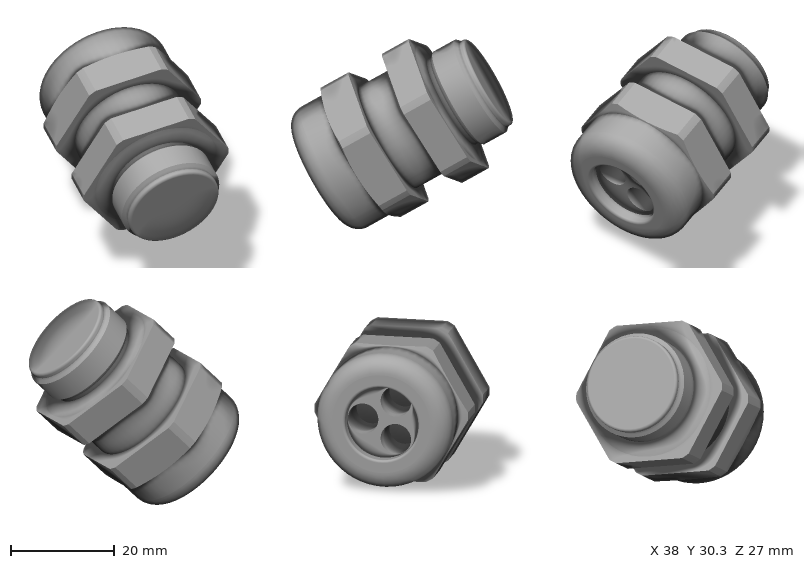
import cadquery as cq
import math


HEX_ACROSS_FLATS = 27.0
HEX_CORNER_RADIUS = 15.15

CAP_RADIUS = 13.25
CAP_NOSE_RADIUS = 3.5
CAP_HEX_START = 8.55
CAP_HEX_CHAMFER_LENGTH = 0.7
CAP_LENGTH = 15.5
MOUTH_RADIUS = 7.25
MOUTH_ROUNDING = 0.5
LIP_THICKNESS = 2.25

INSERT_RADIUS = 10.25
DISH_RADIUS = 9.0
DISH_DEPTH = 1.2
DISH_CORNER_RADIUS = 1.0
DISH_FLOOR = LIP_THICKNESS + DISH_DEPTH
CABLE_HOLE_COUNT = 3
CABLE_HOLE_RADIUS = 3.0
CABLE_HOLE_CIRCLE_RADIUS = 4.3
CABLE_HOLE_DEPTH = 8.0
DOME_HEIGHT = 0.6

BARREL_RADIUS = 11.25
BODY_HEX_START = 23.0
BODY_HEX_END = 29.0
FLANGE_CONE_START_RADIUS = 12.7
FLANGE_CONE_END = 29.65
NECK_RADIUS = 9.4
THREAD_RADIUS = 10.2
THREAD_CHAMFER = THREAD_RADIUS - NECK_RADIUS
THREAD_START = 30.5
THREAD_END = 36.9
TOTAL_LENGTH = 38.0
END_ROUNDING = 0.5


def cylinder(start, end, radius):
    """Solid cylinder on the X axis."""
    return cq.Workplane("YZ", origin=(start, 0, 0)).circle(radius).extrude(end - start)


def revolve_about_x(outline):
    """Full turn of a closed (X, radius) outline about the X axis."""
    return outline.close().revolve(360, (0, 0, 0), (1, 0, 0))


def hexagon(start, end):
    """Hexagonal prism along X with turned corners, pointing towards +Y and -Y."""
    across_corners = HEX_ACROSS_FLATS / math.cos(math.pi / 6)
    prism = cq.Workplane("YZ", origin=(start, 0, 0)).polygon(6, across_corners).extrude(end - start)
    return prism.intersect(cylinder(start, end, HEX_CORNER_RADIUS))


def make_cap():
    nose = cylinder(0, CAP_LENGTH, CAP_RADIUS).faces("<X").edges().fillet(CAP_NOSE_RADIUS)

    hex_chamfer_end = CAP_HEX_START + CAP_HEX_CHAMFER_LENGTH
    chamfer_envelope = revolve_about_x(
        cq.Workplane("XY")
        .moveTo(CAP_HEX_START, 0)
        .lineTo(CAP_HEX_START, CAP_RADIUS)
        .lineTo(hex_chamfer_end, HEX_CORNER_RADIUS)
        .lineTo(CAP_LENGTH, HEX_CORNER_RADIUS)
        .lineTo(CAP_LENGTH, 0)
    )
    cap = nose.union(hexagon(CAP_HEX_START, CAP_LENGTH).intersect(chamfer_envelope))

    cap = cap.cut(cylinder(0, LIP_THICKNESS, MOUTH_RADIUS))
    mouth_edge = cq.selectors.RadiusNthSelector(0)
    cap = cap.faces("<X").edges(mouth_edge).fillet(MOUTH_ROUNDING)
    return cap.cut(cylinder(LIP_THICKNESS, CAP_LENGTH, INSERT_RADIUS))


def cable_hole():
    """Blind hole on the X axis whose floor bulges towards the hole mouth."""
    floor = DISH_FLOOR + CABLE_HOLE_DEPTH
    dome_radius = (CABLE_HOLE_RADIUS**2 + DOME_HEIGHT**2) / (2 * DOME_HEIGHT)
    dome_top = floor - DOME_HEIGHT
    return revolve_about_x(
        cq.Workplane("XY")
        .moveTo(DISH_FLOOR, 0)
        .lineTo(DISH_FLOOR, CABLE_HOLE_RADIUS)
        .lineTo(floor, CABLE_HOLE_RADIUS)
        .radiusArc((dome_top, 0), -dome_radius)
    )


def make_insert():
    dish = cylinder(LIP_THICKNESS, DISH_FLOOR, DISH_RADIUS)
    dish = dish.faces(">X").edges().fillet(DISH_CORNER_RADIUS)
    insert = cylinder(LIP_THICKNESS, CAP_LENGTH, INSERT_RADIUS).cut(dish)

    first_hole = cable_hole().translate((0, CABLE_HOLE_CIRCLE_RADIUS, 0))
    for index in range(CABLE_HOLE_COUNT):
        angle = index * 360 / CABLE_HOLE_COUNT
        insert = insert.cut(first_hole.rotate((0, 0, 0), (1, 0, 0), angle))
    return insert


def make_body():
    barrel = cylinder(CAP_LENGTH, BODY_HEX_START, BARREL_RADIUS)
    spigot = revolve_about_x(
        cq.Workplane("XY")
        .moveTo(BODY_HEX_END, 0)
        .lineTo(BODY_HEX_END, FLANGE_CONE_START_RADIUS)
        .lineTo(FLANGE_CONE_END, NECK_RADIUS)
        .lineTo(THREAD_START, NECK_RADIUS)
        .lineTo(THREAD_START + THREAD_CHAMFER, THREAD_RADIUS)
        .lineTo(THREAD_END - THREAD_CHAMFER, THREAD_RADIUS)
        .lineTo(THREAD_END, NECK_RADIUS)
        .lineTo(TOTAL_LENGTH, NECK_RADIUS)
        .lineTo(TOTAL_LENGTH, 0)
    )
    spigot = spigot.faces(">X").edges().fillet(END_ROUNDING)
    return barrel.union(hexagon(BODY_HEX_START, BODY_HEX_END)).union(spigot)


cap = make_cap()
insert = make_insert()
body = make_body()

result = cq.Compound.makeCompound([cap.val(), insert.val(), body.val()])